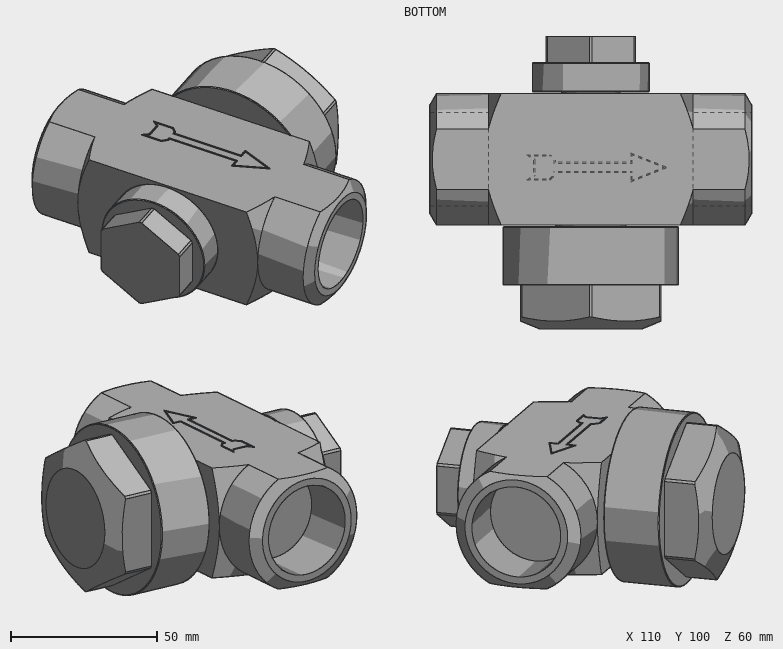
import cadquery as cq
import math

body_length = 110.0
body_diameter = 45.0
body_height = 40.0
round_end_length = 20.0
shoulder_angle = 30.0
end_face_diameter = 37.0
end_chamfer_angle = 30.0
bore_diameter = 32.0
bore_depth = 20.0

joint_gap = 0.5
edge_break = 0.3
corner_flat = 1.0

cap_neck_diameter = 24.0
cap_collar_diameter = 60.0
cap_collar_length = 20.0
cap_hex_width = 48.0
cap_hex_length = 15.0
cap_top_diameter = 35.0
cap_top_angle = 22.5

plug_neck_diameter = 20.0
plug_collar_diameter = 40.0
plug_collar_length = 10.0
plug_hex_width = 30.6
plug_hex_length = 9.0

arrow_center_y = 2.8
arrow_tip_x = 26.1
arrow_head_base_x = 13.7
arrow_head_half = 4.9
arrow_shaft_half = 1.8
arrow_tail_front_x = -12.1
arrow_tail_end_x = -21.7
arrow_tail_half = 4.3
arrow_tail_corner = 1.8
arrow_notch_depth = 2.2
arrow_notch_half = 2.6
groove_width = 0.4
groove_depth = 0.2

trim_clearance = 1.0

side_face = body_diameter / 2
half_hex_sector = math.radians(30)


def tangent(angle):
    return math.tan(math.radians(angle))


def make_body():
    """Block trimmed by a turned profile, with a blind bore in each end."""
    end_x = body_length / 2
    shoulder_x = end_x - round_end_length
    round_radius = body_diameter / 2
    face_radius = end_face_diameter / 2
    chamfer_x = end_x - (round_radius - face_radius) * tangent(end_chamfer_angle)
    block_radius = math.hypot(body_diameter, body_height) / 2 + trim_clearance
    cone_x = shoulder_x - (block_radius - round_radius) * tangent(shoulder_angle)

    half_profile = [
        (cone_x, block_radius),
        (shoulder_x, round_radius),
        (chamfer_x, round_radius),
        (end_x, face_radius),
    ]
    mirrored = [(-x, radius) for x, radius in reversed(half_profile)]
    turned = (
        cq.Workplane("XY")
        .polyline([(-end_x, 0)] + mirrored + half_profile + [(end_x, 0)])
        .close()
        .revolve(360, (0, 0, 0), (1, 0, 0))
    )
    body = cq.Workplane("XY").box(body_length, body_diameter, body_height).intersect(turned)
    for side in (-1, 1):
        bore = (
            cq.Workplane("YZ", origin=(side * end_x, 0, 0))
            .circle(bore_diameter / 2)
            .extrude(-side * bore_depth)
        )
        body = body.cut(bore)
    return body


def make_cylinder(start, length, diameter):
    """Cylinder along +Z from the given height."""
    return cq.Workplane("XY", origin=(0, 0, start)).circle(diameter / 2).extrude(length)


def make_hexagon(start, length, width):
    """Hexagonal prism along +Z with two flats facing X and flattened corners."""
    across_corners = width / math.cos(half_hex_sector)
    corner_cut = corner_flat / 2 / math.cos(half_hex_sector)
    return (
        cq.Workplane("XY", origin=(0, 0, start))
        .transformed(rotate=(0, 0, math.degrees(half_hex_sector)))
        .polygon(6, across_corners)
        .extrude(length)
        .edges("|Z")
        .chamfer(corner_cut)
    )


def make_fitting(neck_diameter, collar_diameter, collar_length, hex_width, hex_length):
    """Neck, collar and hexagon stacked along +Z, starting at the side face of the body."""
    collar_start = side_face + joint_gap
    hex_start = collar_start + collar_length
    neck = make_cylinder(side_face - joint_gap, 2 * joint_gap, neck_diameter)
    collar = make_cylinder(collar_start, collar_length, collar_diameter)
    collar = collar.faces("<Z or >Z").edges().chamfer(edge_break)
    hexagon = make_hexagon(hex_start, hex_length, hex_width)
    return neck.union(collar).union(hexagon)


def make_cap():
    """Large cap on the +Y side, its hexagon crowned by a cone."""
    cap = make_fitting(
        cap_neck_diameter, cap_collar_diameter, cap_collar_length, cap_hex_width, cap_hex_length
    )
    top = side_face + joint_gap + cap_collar_length + cap_hex_length
    crown_radius = cap_collar_diameter / 2 + trim_clearance
    top_radius = cap_top_diameter / 2
    cone_start = top - (crown_radius - top_radius) * tangent(cap_top_angle)
    crown = (
        cq.Workplane("XZ")
        .lineTo(crown_radius, 0)
        .lineTo(crown_radius, cone_start)
        .lineTo(top_radius, top)
        .lineTo(0, top)
        .close()
        .revolve(360, (0, 0, 0), (0, 1, 0))
    )
    return cap.intersect(crown).rotate((0, 0, 0), (1, 0, 0), -90)


def make_plug():
    """Small plug on the -Y side."""
    plug = make_fitting(
        plug_neck_diameter, plug_collar_diameter, plug_collar_length, plug_hex_width, plug_hex_length
    )
    return plug.rotate((0, 0, 0), (1, 0, 0), 90)


def make_arrow_groove():
    """Narrow groove that follows the outline of the flow arrow."""
    upper_half = [
        (arrow_head_base_x, arrow_head_half),
        (arrow_head_base_x, arrow_shaft_half),
        (arrow_tail_front_x, arrow_shaft_half),
        (arrow_tail_front_x, arrow_tail_half - arrow_tail_corner),
        (arrow_tail_front_x - arrow_tail_corner, arrow_tail_half),
        (arrow_tail_end_x, arrow_tail_half),
        (arrow_tail_end_x + arrow_notch_depth, arrow_notch_half),
    ]
    lower_half = [(x, -y) for x, y in reversed(upper_half)]
    outline = (
        cq.Workplane("XY", origin=(0, arrow_center_y, body_height / 2))
        .polyline([(arrow_tip_x, 0)] + upper_half + lower_half)
        .close()
    )
    outer = outline.extrude(-groove_depth)
    inner_outline = outline.wires().toPending().offset2D(-groove_width, "intersection")
    island = inner_outline.extrude(-groove_depth)
    return outer.cut(island)


result = make_body().union(make_cap()).union(make_plug()).cut(make_arrow_groove())